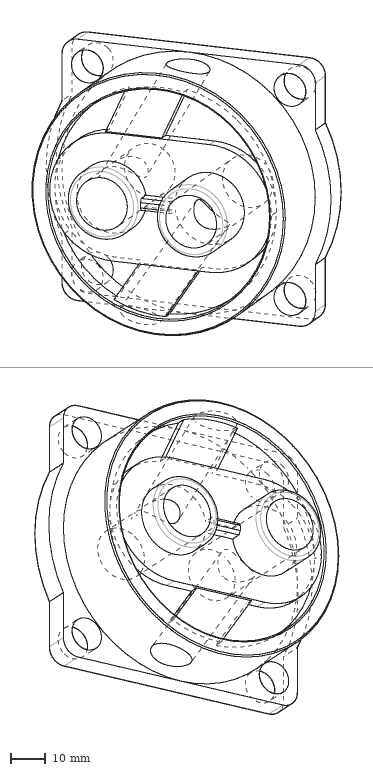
import cadquery as cq
import math

flange_side = 80.0
flange_disc_diameter = 90.0
flange_thickness = 8.0
flange_corner_radius = 5.0
bolt_spacing = 64.0
bolt_hole_diameter = 10.0

body_diameter = flange_side
body_front = 31.95
body_edge_chamfer = 0.45
chamber_diameter = 70.0
chamber_mouth_chamfer = 0.45
chamber_floor = 26.0

port_spacing = 31.0
block_height = 39.1
block_front = 30.0

tube_diameter = 22.0
bore_diameter = 16.0
tube_edge_fillet = 1.0
left_tube_front = 37.5
right_tube_front = 44.5
bar_front = 34.6
bar_height = 3.6
bar_edge_chamfer = 1.0

port_diameter = 12.0
port_depth = 20.0
rib_front = 29.0
upper_rib_width = 16.1
upper_rib_angle = 25.0
upper_rib_offset = -2.5
upper_port_angle = 30.0
lower_rib_width = 15.5
lower_rib_angle = 34.0

left_x = -port_spacing / 2
right_x = port_spacing / 2
upper_rib_x = left_x + upper_rib_offset


def front_plane(depth):
    """XZ plane facing -Y at the given distance from the back face."""
    return cq.Workplane("XZ", origin=(0, -depth, 0))


def cylinder(diameter, start, end, x=0):
    return front_plane(start).center(x, 0).circle(diameter / 2).extrude(end - start)


def make_flange():
    plate = front_plane(0).rect(flange_side, flange_side).extrude(flange_thickness)
    plate = plate.edges("|Y").fillet(flange_corner_radius)
    disc = cylinder(flange_disc_diameter, 0, flange_thickness)
    band = front_plane(0).rect(flange_disc_diameter, flange_side).extrude(flange_thickness)
    return plate.union(disc.intersect(band))


def make_housing():
    housing = cylinder(body_diameter, 0, body_front).faces("<Y").chamfer(body_edge_chamfer)
    chamber = cylinder(chamber_diameter, chamber_floor, body_front)
    return housing.cut(chamber).faces("<Y").edges("%CIRCLE").edges(
        cq.selectors.RadiusNthSelector(0)
    ).chamfer(chamber_mouth_chamfer)


def make_block():
    length = port_spacing + block_height
    return front_plane(0).slot2D(length, block_height).extrude(block_front)


def make_rib(x, width, angle, side):
    """Flat-fronted rib from the bore axis level to the housing wall; side is +1 up, -1 down."""
    length = body_diameter
    rib = front_plane(0).center(0, side * length / 2).rect(width, length).extrude(rib_front)
    rib = rib.rotate((0, 0, 0), (0, 1, 0), angle).translate((x, 0, 0))
    wall_middle = (body_diameter + chamber_diameter) / 2
    return rib.intersect(cylinder(wall_middle, 0, body_front))


def make_tube(x, front):
    tube = cylinder(tube_diameter, 0, front, x)
    return tube.faces("<Y").edges().fillet(tube_edge_fillet)


def make_bar():
    bar = front_plane(0).rect(port_spacing, bar_height).extrude(bar_front)
    return bar.faces("<Y").edges("|X").chamfer(bar_edge_chamfer)


def make_side_port(x, angle, side):
    """Drilling from the bore axis level out through the housing wall."""
    lean = math.radians(angle)
    direction = cq.Vector(side * math.sin(lean), 0, side * math.cos(lean))
    start = cq.Vector(x, -port_depth, 0)
    return cq.Solid.makeCylinder(port_diameter / 2, body_diameter, start, direction)


result = make_flange().union(make_housing())
result = result.union(make_block())
result = result.union(make_rib(upper_rib_x, upper_rib_width, upper_rib_angle, 1))
result = result.union(make_rib(right_x, lower_rib_width, lower_rib_angle, -1))
result = result.union(make_bar())

for tube_x, tube_front in ((left_x, left_tube_front), (right_x, right_tube_front)):
    result = result.union(make_tube(tube_x, tube_front))
for bore_x in (left_x, right_x):
    result = result.cut(cylinder(bore_diameter, 0, right_tube_front, bore_x))

result = result.cut(make_side_port(upper_rib_x, upper_port_angle, 1))
result = result.cut(make_side_port(right_x, lower_rib_angle, -1))

bolt_holes = front_plane(0).rect(bolt_spacing, bolt_spacing, forConstruction=True).vertices()
result = result.cut(bolt_holes.circle(bolt_hole_diameter / 2).extrude(flange_thickness))